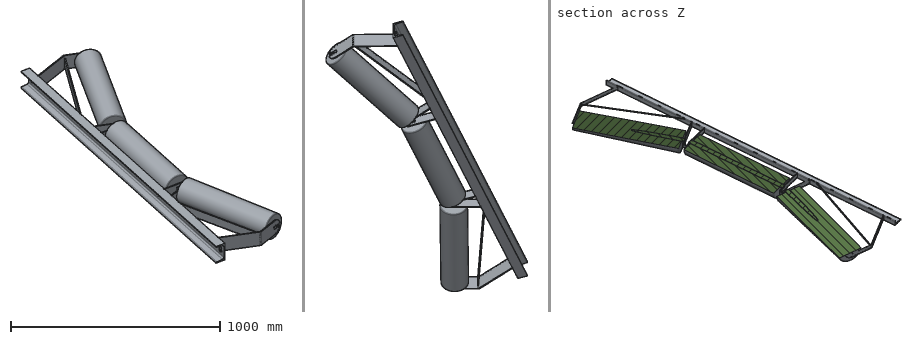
import cadquery as cq
import math


overall_length = 1715.0

channel_length = 1700.0
channel_height = 100.0
channel_depth = 50.0
web_thickness = 6.0
flange_thickness = 9.0
flange_taper = 0.08
root_radius = 9.0
toe_radius = 4.3
bolt_slot_x = 820.0
bolt_slot_width = 22.0
bolt_slot_length = 36.0

roller_diameter = 134.0
roller_edge_radius = 3.0
roller_length = 530.0
trough_angle = 20.0
side_tilt = 2.0
middle_roller_y = 113.0
middle_roller_z = -20.0
side_roller_x = 560.0
side_roller_y = 216.0
side_roller_z = middle_roller_z / 2
shaft_diameter = 20.0
shaft_flats = 15.0

plate_thickness = 6.0
roller_gap = 5.0
outer_bracket_width = 80.0
outer_bend_radius = 14.0
outer_end_drop = 3.0
inner_bracket_height = 145.0
inner_bend_radius = 9.0
inner_bracket_width = 51.0
brace_width = 48.0
brace_foot_x = 393.0
brace_top_rise = 3.0

trough = math.radians(trough_angle)
bracket_face = roller_length / 2 + roller_gap
shaft_length = 2 * (bracket_face + plate_thickness)
slant_thickness = plate_thickness / math.cos(trough)


def side_point(along, up):
    """XY point at given distances along and above the axis of the right side roller."""
    x = side_roller_x + along * math.cos(trough) - up * math.sin(trough)
    y = side_roller_y + along * math.sin(trough) + up * math.cos(trough)
    return x, y


def strip(points, width, z_middle):
    """Plate that stands on an XY outline and is centred on z_middle."""
    plate = cq.Workplane("XY").polyline(points).close().extrude(width / 2, both=True)
    return plate.translate((0, 0, z_middle))


def round_bend(plate, corner, radius):
    """Round the upright plate edge nearest to an XY corner."""
    upright_edges = plate.edges("|Z")
    return upright_edges.edges(cq.selectors.NearestToPointSelector((*corner, 0))).fillet(radius)


def mirrored_pair(right_part):
    return right_part.union(right_part.mirror("YZ"))


def place_middle(body):
    return body.translate((0, middle_roller_y, middle_roller_z))


def place_right(body):
    tilted = body.rotate((0, 0, 0), (0, 1, 0), -side_tilt)
    troughed = tilted.rotate((0, 0, 0), (0, 0, 1), trough_angle)
    return troughed.translate((side_roller_x, side_roller_y, side_roller_z))


def place_left(body):
    return place_right(body).mirror("YZ")


placements = [place_middle, place_right, place_left]


def make_roller():
    start = cq.Workplane("YZ", origin=(-roller_length / 2, 0, 0))
    body = start.circle(roller_diameter / 2).extrude(roller_length).edges().fillet(roller_edge_radius)
    bore = start.circle(shaft_diameter / 2).extrude(roller_length)
    return body.cut(bore)


def make_shaft():
    start = cq.Workplane("YZ", origin=(-shaft_length / 2, 0, 0))
    shaft = start.circle(shaft_diameter / 2).extrude(shaft_length)
    round_middle = cq.Workplane("XY").box(roller_length, shaft_diameter, shaft_diameter)
    flat_zone = cq.Workplane("XY").box(shaft_length, shaft_diameter, shaft_flats)
    return shaft.intersect(round_middle.union(flat_zone))


def make_shaft_slots():
    """Cutter for the two bracket slots of one shaft: open at the top, seated on the shaft."""
    cut_length = 2 * bracket_face + 4 * plate_thickness
    slot_height = outer_bracket_width
    seat = cq.Workplane("YZ").circle(shaft_diameter / 2).extrude(cut_length / 2, both=True)
    seat = seat.intersect(cq.Workplane("XY").box(cut_length, shaft_diameter, shaft_flats))
    opening = cq.Workplane("XY").box(cut_length, slot_height, shaft_flats)
    between = cq.Workplane("XY").box(roller_length, 4 * slot_height, 4 * slot_height)
    return seat.union(opening.translate((0, slot_height / 2, 0))).cut(between)


def make_channel():
    half_height = channel_height / 2
    taper_rise = flange_taper * channel_depth / 2
    toe_z = half_height - flange_thickness + taper_rise
    root_z = toe_z - flange_taper * (channel_depth - web_thickness)
    outline = [
        (0, -half_height),
        (0, half_height),
        (-channel_depth, half_height),
        (-channel_depth, toe_z),
        (-web_thickness, root_z),
        (-web_thickness, -root_z),
        (-channel_depth, -toe_z),
        (-channel_depth, -half_height),
    ]
    beam = cq.Workplane("YZ").polyline(outline).close().extrude(channel_length / 2, both=True)

    for side in (-1, 1):
        for y, z, radius in [(-web_thickness, root_z, root_radius), (-channel_depth, toe_z, toe_radius)]:
            long_edge = cq.selectors.NearestToPointSelector((0, y, side * z))
            beam = beam.edges("|X").edges(long_edge).fillet(radius)
    slots = (
        cq.Workplane("XZ")
        .pushPoints([(-bolt_slot_x, 0), (bolt_slot_x, 0)])
        .slot2D(bolt_slot_length, bolt_slot_width, 90)
        .extrude(web_thickness * 2, both=True)
    )
    return beam.cut(slots)


bend_x = overall_length / 2 + outer_bend_radius * (1 / math.cos(trough) - 1)
bend_rise = (bend_x - side_point(bracket_face + plate_thickness, 0)[0]) / math.sin(trough)
bend_y = side_point(bracket_face + plate_thickness, -bend_rise)[1]


def make_outer_bracket():
    """Strip that leans out to a bend, then back in along the roller end to a rounded top."""
    end_reach = outer_bracket_width / 2 - outer_end_drop
    foot_x = bend_x - bend_y * math.tan(trough)
    outline = [
        (foot_x, 0),
        (bend_x, bend_y),
        side_point(bracket_face + plate_thickness, end_reach),
        side_point(bracket_face, end_reach),
        (bend_x - slant_thickness, bend_y),
        (foot_x - slant_thickness, 0),
    ]
    bracket = strip(outline, outer_bracket_width, 0)
    bracket = round_bend(bracket, outline[1], outer_bend_radius)
    bracket = round_bend(bracket, outline[4], outer_bend_radius - plate_thickness)

    disc_length = 4 * plate_thickness
    lower_length = 2 * overall_length
    end_disc = cq.Workplane("YZ").circle(outer_bracket_width / 2).extrude(disc_length)
    below = cq.Workplane("XY").box(lower_length, lower_length, outer_bracket_width)
    keep = end_disc.translate((bracket_face - plate_thickness, 0, 0))
    keep = keep.union(below.translate((0, -lower_length / 2, 0)))
    keep = keep.rotate((0, 0, 0), (0, 0, 1), trough_angle)
    return bracket.intersect(keep.translate((*side_point(0, -outer_end_drop), 0)))


def make_inner_bracket():
    """Upright leg beside the middle roller, flat top and slanted leg beside the side roller."""
    def slant_x(y):
        along_x = side_point(-bracket_face, 0)[0]
        return along_x + (side_point(-bracket_face, 0)[1] - y) * math.tan(trough)

    under_top = inner_bracket_height - plate_thickness
    outline = [
        (bracket_face, 0),
        (bracket_face, inner_bracket_height),
        (slant_x(inner_bracket_height), inner_bracket_height),
        (slant_x(0), 0),
        (slant_x(0) - slant_thickness, 0),
        (slant_x(under_top) - slant_thickness, under_top),
        (bracket_face + plate_thickness, under_top),
        (bracket_face + plate_thickness, 0),
    ]
    bracket = strip(outline, inner_bracket_width, middle_roller_z)
    for corner in outline[1:3]:
        bracket = round_bend(bracket, corner, inner_bend_radius)
    for corner in outline[5:7]:
        bracket = round_bend(bracket, corner, inner_bend_radius - plate_thickness)
    return bracket


def make_brace():
    """Diagonal strip from the channel to the bend of the outer bracket."""
    top_x = bend_x - slant_thickness
    top_y = bend_y + brace_top_rise
    lean = math.atan2(top_y, top_x - brace_foot_x)
    half_foot = plate_thickness / math.sin(lean) / 2
    half_rise = plate_thickness / math.cos(lean) / 2
    outline = [
        (brace_foot_x - half_foot, 0),
        (brace_foot_x + half_foot, 0),
        (top_x, top_y - half_rise),
        (top_x, top_y + half_rise),
    ]
    return strip(outline, brace_width, 0)


def make_frame():
    right_side = make_outer_bracket().union(make_inner_bracket()).union(make_brace())
    frame = make_channel().union(mirrored_pair(right_side))
    for place in placements:
        frame = frame.cut(place(make_shaft_slots()))
    return frame


frame = make_frame()
rollers = [place(make_roller()) for place in placements]
shafts = [place(make_shaft()) for place in placements]

result = cq.Compound.makeCompound([frame.val(), *[body.val() for body in rollers + shafts]])